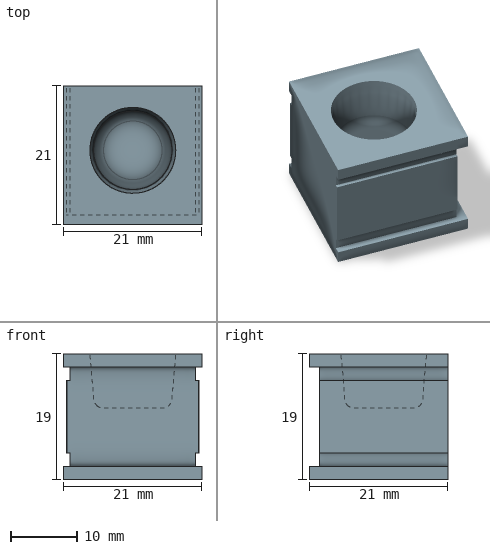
import cadquery as cq
import math

side = 21.0
height = 19.0

flange_thickness = 2.0

front_setback = 1.5
body_depth = side - front_setback
body_center_y = front_setback / 2
body_height = height - 2 * flange_thickness

neck_width = 19.0
neck_height = 2.0
middle_width = 20.0
middle_height = body_height - 2 * neck_height

pocket_radius = 6.5
pocket_depth = 8.2
pocket_draft = 5.0
pocket_fillet = 1.5


def centered_block(width, depth, block_height, center_y):
    """Box centred on X = 0 and Z = 0 with its Y centre at center_y."""
    return cq.Workplane("XY").box(width, depth, block_height).translate((0, center_y, 0))


def flange(center_z):
    """Square end plate centred at the given height."""
    return centered_block(side, side, flange_thickness, 0).translate((0, 0, center_z))


def body():
    """Neck running between the flanges, with the wider middle band around it."""
    neck = centered_block(neck_width, body_depth, body_height, body_center_y)
    middle = centered_block(middle_width, body_depth, middle_height, body_center_y)
    return neck.union(middle)


def pocket():
    """Drafted round pocket with a filleted floor, revolved about its vertical axis."""
    draft = math.radians(pocket_draft)
    top_z = height / 2
    floor_z = top_z - pocket_depth
    arc_center_z = floor_z + pocket_fillet

    wall_end_z = arc_center_z + pocket_fillet * math.sin(draft)
    wall_end_radius = pocket_radius - (top_z - wall_end_z) * math.tan(draft)
    floor_radius = wall_end_radius - pocket_fillet * math.cos(draft)

    mid_angle = (draft - math.pi / 2) / 2
    arc_mid_radius = floor_radius + pocket_fillet * math.cos(mid_angle)
    arc_mid_z = arc_center_z + pocket_fillet * math.sin(mid_angle)

    return (
        cq.Workplane("XZ")
        .moveTo(0, top_z)
        .lineTo(pocket_radius, top_z)
        .lineTo(wall_end_radius, wall_end_z)
        .threePointArc((arc_mid_radius, arc_mid_z), (floor_radius, floor_z))
        .lineTo(0, floor_z)
        .close()
        .revolve(360, (0, 0, 0), (0, 1, 0))
        .translate((0, body_center_y, 0))
    )


flange_center_z = (height - flange_thickness) / 2

result = body()
for center_z in (-flange_center_z, flange_center_z):
    result = result.union(flange(center_z))
result = result.cut(pocket())